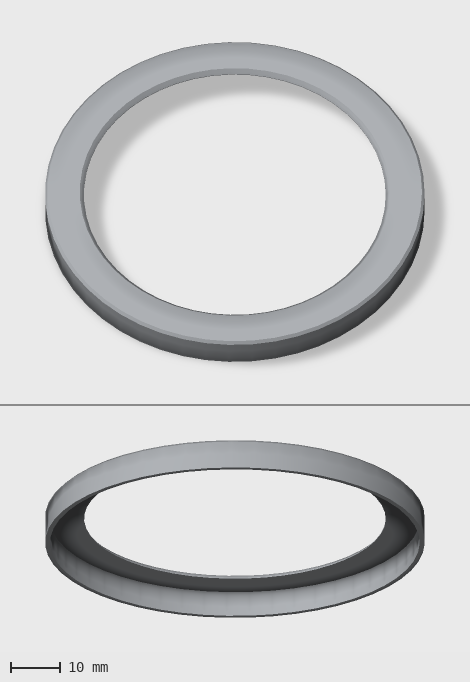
import cadquery as cq

outer_diameter = 76.2
height = 6.2
opening_diameter = 60.6

skirt_inner_diameter = 74.2
skirt_thickness = (outer_diameter - skirt_inner_diameter) / 2
flange_thickness = skirt_thickness

outer_chamfer = 0.5
opening_chamfer = 0.85

outer_radius = outer_diameter / 2
opening_radius = opening_diameter / 2
skirt_inner_radius = skirt_inner_diameter / 2
flange_bottom = height - flange_thickness

section = (
    cq.Workplane("XZ")
    .moveTo(skirt_inner_radius, 0)
    .lineTo(outer_radius, 0)
    .lineTo(outer_radius, height - outer_chamfer)
    .lineTo(outer_radius - outer_chamfer, height)
    .lineTo(opening_radius + opening_chamfer, height)
    .lineTo(opening_radius, height - opening_chamfer)
    .lineTo(opening_radius, flange_bottom)
    .lineTo(skirt_inner_radius, flange_bottom)
    .close()
)

result = section.revolve(360, (0, 0, 0), (0, 1, 0))